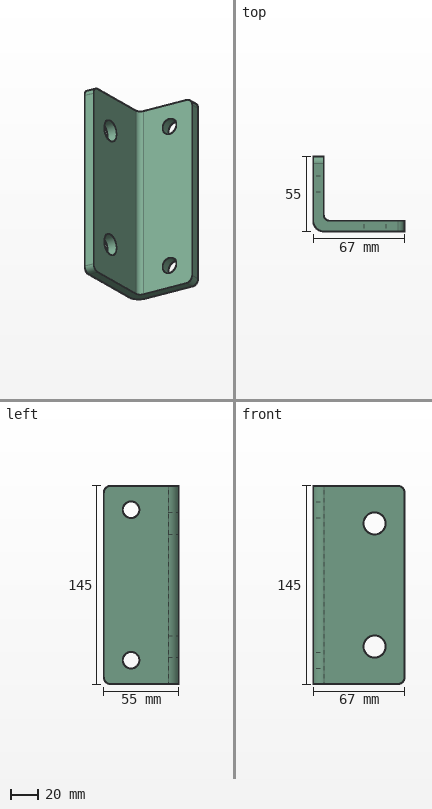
import cadquery as cq

width = 67.0
depth = 55.0
height = 145.0
thickness = 8.0

outer_bend_radius = 8.0
inner_bend_radius = 4.0
corner_radius = 5.0

front_hole_diameter = 16.0
front_hole_x = 45.0
front_hole_spacing = 90.0

side_hole_diameter = 12.0
side_hole_y = 35.0
side_hole_spacing = 110.0


def bent_plate():
    """L-shaped plate with its outer bend at the origin, rounded inside and outside."""
    plate = (
        cq.Workplane("XY")
        .polyline([
            (0, 0),
            (width, 0),
            (width, thickness),
            (thickness, thickness),
            (thickness, depth),
            (0, depth),
        ])
        .close()
        .extrude(height)
    )
    outer_bend = cq.selectors.NearestToPointSelector((0, 0, height / 2))
    plate = plate.edges(outer_bend).fillet(outer_bend_radius)
    inner_bend = cq.selectors.NearestToPointSelector((thickness, thickness, height / 2))
    return plate.edges(inner_bend).fillet(inner_bend_radius)


def round_free_corners(plate):
    """Round the top and bottom corners at the free end of each leg."""
    plate = plate.faces(">X").edges("|Y").fillet(corner_radius)
    return plate.faces(">Y").edges("|X").fillet(corner_radius)


def hole_pair(plane, position, spacing, diameter):
    """Two cylinders through one leg, centred on mid-height."""
    return (
        cq.Workplane(plane)
        .pushPoints([
            (position, (height - spacing) / 2),
            (position, (height + spacing) / 2),
        ])
        .circle(diameter / 2)
        .extrude(thickness)
    )


front_holes = hole_pair("XZ", front_hole_x, front_hole_spacing, front_hole_diameter)
front_holes = front_holes.translate((0, thickness, 0))
side_holes = hole_pair("YZ", side_hole_y, side_hole_spacing, side_hole_diameter)

result = round_free_corners(bent_plate()).cut(front_holes).cut(side_holes)